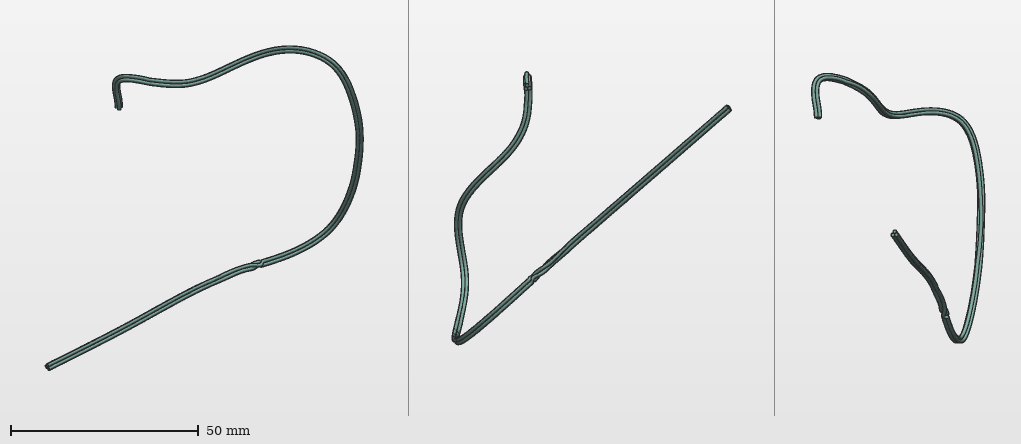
import cadquery as cq
import math

WIRE_COUNT = 3
WIRE_RADIUS = 0.5
BUNDLE_RADIUS = WIRE_RADIUS / math.sin(math.pi / WIRE_COUNT)
FIRST_WIRE_ANGLE = 87.0

TAIL_END = (13.6, -50.8, -27.9)
TAIL_DIRECTION = (0, 1, 0)
HOOK_END = (-16.3, -5.5, 19.1)
HOOK_DIRECTION = (0, 0, -1)
BEND_POINTS = [
    (13.6, -22.4, -27.7),
    (13.7, 1.0, -26.9),
    (13.2, 18.0, -29.7),
    (12.9, 33.6, -32.4),
    (13.2, 41.7, -30.3),
    (14.5, 47.7, -20.8),
    (16.0, 49.6, -7.8),
    (16.8, 49.5, 4.7),
    (16.3, 47.1, 20.6),
    (12.1, 43.1, 31.0),
    (7.3, 40.1, 32.4),
    (-1.9, 31.1, 29.4),
    (-4.1, 21.3, 28.0),
    (-5.0, 9.4, 28.7),
    (-10.1, 0.0, 30.5),
    (-16.5, -5.6, 29.0),
    (-16.9, -5.8, 24.7),
]


def make_centre_line():
    """Smooth curve from the tail end to the hook end."""
    points = [cq.Vector(*point) for point in [TAIL_END, *BEND_POINTS, HOOK_END]]
    tangents = [cq.Vector(*TAIL_DIRECTION), cq.Vector(*HOOK_DIRECTION)]
    return cq.Workplane(cq.Edge.makeSpline(points, tangents=tangents))


def make_wire(centre_line, angle):
    """One round wire, set off from the centre line in the direction of the angle."""
    tail_plane = cq.Plane(origin=TAIL_END, xDir=(1, 0, 0), normal=(0, -1, 0))
    offset_x = BUNDLE_RADIUS * math.cos(math.radians(angle))
    offset_z = BUNDLE_RADIUS * math.sin(math.radians(angle))
    profile = cq.Workplane(tail_plane).center(offset_x, offset_z).circle(WIRE_RADIUS)
    return profile.sweep(centre_line).val()


centre_line = make_centre_line()
wires = []
for index in range(WIRE_COUNT):
    angle = FIRST_WIRE_ANGLE + index * 360.0 / WIRE_COUNT
    wires.append(make_wire(centre_line, angle))

result = cq.Compound.makeCompound(wires)